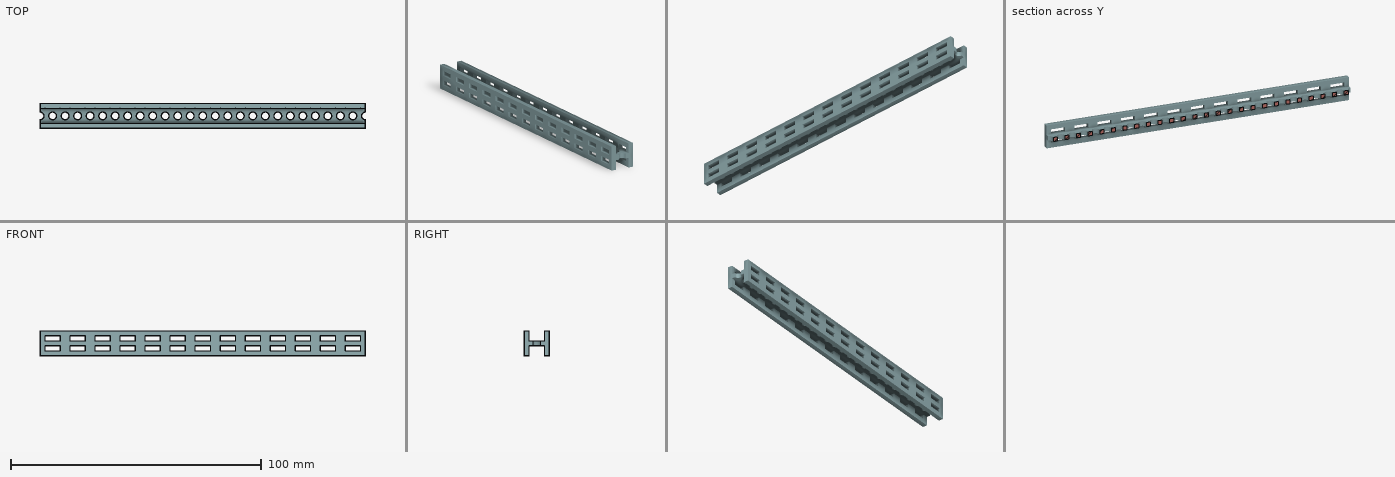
import cadquery as cq

length = 130.0
width = 10.0
height = 10.0
flange_thickness = 2.0
web_thickness = 2.0

hole_diameter = 3.0
hole_pitch = 5.0
hole_count = round(length / hole_pitch) + 1

slot_length = 6.0
slot_height = 2.0
slot_pitch = 10.0
slot_count = round(length / slot_pitch)
slot_offset = (web_thickness + slot_height) / 2


def make_beam():
    """Two upright flanges joined at mid-height by a flat web."""
    web = cq.Workplane("XY").box(length, width, web_thickness)
    flange_offset = (width - flange_thickness) / 2
    beam = web
    for side in (-1, 1):
        flange = cq.Workplane("XY").box(length, flange_thickness, height)
        beam = beam.union(flange.translate((0, side * flange_offset, 0)))
    return beam


def make_web_holes():
    """Row of vertical cylinders along the beam's centre line."""
    return (
        cq.Workplane("XY")
        .rarray(hole_pitch, 1, hole_count, 1)
        .circle(hole_diameter / 2)
        .extrude(web_thickness / 2, both=True)
    )


def make_flange_slots():
    """Two rows of slots running across the full width of the beam."""
    return (
        cq.Workplane("XZ")
        .rarray(slot_pitch, 2 * slot_offset, slot_count, 2)
        .rect(slot_length, slot_height)
        .extrude(width / 2, both=True)
    )


result = make_beam().cut(make_web_holes()).cut(make_flange_slots())